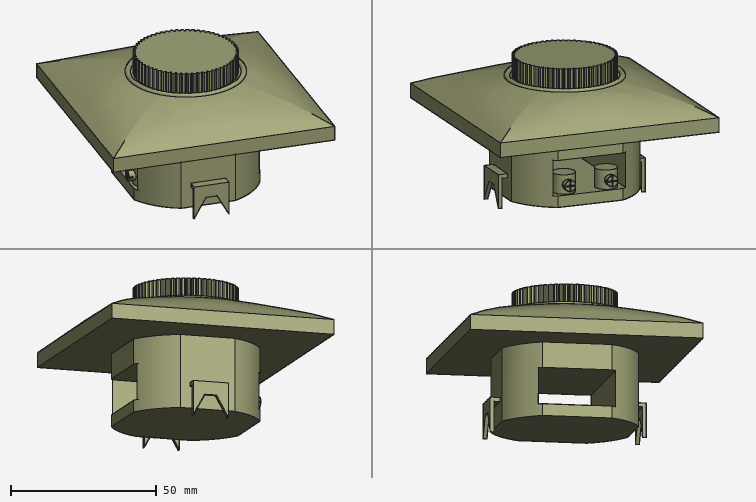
import cadquery as cq
import math

plate_x = 81.5
plate_y = 80.5
plate_top = 5.2

dome_top = 14.2
bead_outer_dia = 41.9
bead_inner_dia = 38.0
ridge_bulge = 1.1
face_bulge = 1.6

knob_dia = 36.35
flute_count = 60
flute_depth = 0.8
flute_mouth_share = 0.6
flute_root_share = 0.15
knob_top = 21.7

body_dia = 51.8
body_x = 47.9
body_y = 45.8
body_bottom = -25.75

window_width = 27.05
window_top = -8.9
window_floor = -21.6

post_dia = 8.0
post_spacing = 15.7
post_y = -17.9
post_top = -14.7
screw_dia = 4.0
screw_z = -18.25
screw_front = -24.0
screw_slot_width = 0.4
screw_slot_depth = 1.5

claw_span = 54.8
claw_width = 12.7
claw_sheet = 1.4
claw_top = -16.7
claw_bottom = -28.85
notch_top = -21.3
notch_top_width = 4.1


def raised_arc(start, end, bulge):
    """Arc from start to end whose middle is lifted off the chord, square to it and in its upright plane."""
    chord = end - start
    run = math.hypot(chord.x, chord.y)
    lift = cq.Vector(-chord.x * chord.z / run, -chord.y * chord.z / run, run) / chord.Length
    return cq.Edge.makeThreePointArc(start, (start + end) / 2 + lift * bulge, end)


def dome_solid():
    """Four curved faces rising from the plate's straight edges to a flat round top."""
    top_radius = bead_outer_dia / 2
    corner_angle = math.atan2(plate_y, plate_x)
    angles = [corner_angle, math.pi - corner_angle, math.pi + corner_angle, -corner_angle]
    half_x, half_y = plate_x / 2, plate_y / 2
    corner_signs = [(1, 1), (-1, 1), (-1, -1), (1, -1)]
    corners = [cq.Vector(sx * half_x, sy * half_y, plate_top) for sx, sy in corner_signs]

    def rim_point(angle):
        return cq.Vector(top_radius * math.cos(angle), top_radius * math.sin(angle), dome_top)

    rim = [rim_point(angle) for angle in angles]
    ridges = [raised_arc(low, high, ridge_bulge) for low, high in zip(corners, rim)]
    base_edges = []
    rim_arcs = []
    faces = []
    for i in range(len(corners)):
        j = (i + 1) % len(corners)
        side_angle = (i + 1) * math.pi / 2
        base = cq.Edge.makeLine(corners[i], corners[j])
        rim_middle = rim_point(side_angle)
        rim_arc = cq.Edge.makeThreePointArc(rim[i], rim_middle, rim[j])
        middle_line = raised_arc((corners[i] + corners[j]) / 2, rim_middle, face_bulge)
        guides = [middle_line.positionAt(t) for t in (0.25, 0.5, 0.75)]
        faces.append(cq.Face.makeNSidedSurface([base, ridges[j], rim_arc, ridges[i]], guides))
        base_edges.append(base)
        rim_arcs.append(rim_arc)
    faces.append(cq.Face.makeFromWires(cq.Wire.assembleEdges(base_edges)))
    faces.append(cq.Face.makeFromWires(cq.Wire.assembleEdges(rim_arcs)))
    return cq.Workplane(cq.Solid.makeSolid(cq.Shell.makeShell(faces)).fix())


def bead():
    """Ring of round section, half sunk in the dome around the knob."""
    tube_radius = (bead_outer_dia - bead_inner_dia) / 4
    ring_radius = (bead_outer_dia + bead_inner_dia) / 4
    return cq.Workplane(cq.Solid.makeTorus(ring_radius, tube_radius, cq.Vector(0, 0, dome_top)))


def knob():
    """Cylinder with evenly spaced tapered flutes; one flute lies on +X."""
    pitch = math.pi * knob_dia / flute_count
    mouth = pitch * flute_mouth_share / 2
    root = pitch * flute_root_share / 2
    radius = knob_dia / 2
    height = knob_top - dome_top
    base = cq.Workplane("XY", origin=(0, 0, dome_top))
    overrun = 2 * mouth - root
    flute = (
        base.moveTo(radius - flute_depth, -root)
        .lineTo(radius + flute_depth, -overrun)
        .lineTo(radius + flute_depth, overrun)
        .lineTo(radius - flute_depth, root)
        .close()
        .extrude(height)
        .val()
    )
    flutes = [
        flute.rotate(cq.Vector(0, 0, 0), cq.Vector(0, 0, 1), i * 360 / flute_count)
        for i in range(flute_count)
    ]
    blank = base.circle(radius).extrude(height).val()
    return cq.Workplane(blank.cut(*flutes))


def body():
    """Cylinder trimmed by four flats, with the window cut through along Y."""
    drum = cq.Workplane("XY").circle(body_dia / 2).extrude(body_bottom)
    drum = drum.intersect(cq.Workplane("XY").rect(body_x, body_y).extrude(body_bottom))
    window = (
        cq.Workplane("XY", origin=(0, 0, window_floor))
        .rect(window_width, body_dia)
        .extrude(window_top - window_floor)
    )
    return drum.cut(window)


def terminal(x):
    """Upright post with a cross-head screw reaching out from its axis toward -Y."""
    post = (
        cq.Workplane("XY", origin=(x, post_y, window_floor))
        .circle(post_dia / 2)
        .extrude(post_top - window_floor)
    )
    screw_face = cq.Workplane("XZ", origin=(x, screw_front, screw_z))
    screw = screw_face.circle(screw_dia / 2).extrude(screw_front - post_y)
    upright_slot = screw_face.rect(screw_slot_width, screw_dia).extrude(-screw_slot_depth)
    level_slot = screw_face.rect(screw_dia, screw_slot_width).extrude(-screw_slot_depth)
    return post.union(screw.cut(upright_slot).cut(level_slot))


def claw():
    """L-bent sheet on the +X side whose lower leg is notched into two points."""
    outer = claw_span / 2
    inner = body_x / 2
    bent_sheet = (
        cq.Workplane("XZ")
        .moveTo(inner, claw_top)
        .lineTo(outer, claw_top)
        .lineTo(outer, claw_bottom)
        .lineTo(outer - claw_sheet, claw_bottom)
        .lineTo(outer - claw_sheet, claw_top - claw_sheet)
        .lineTo(inner, claw_top - claw_sheet)
        .close()
        .extrude(claw_width / 2, both=True)
    )
    notch = (
        cq.Workplane("YZ", origin=(inner, 0, 0))
        .moveTo(-claw_width / 2, claw_bottom)
        .lineTo(-notch_top_width / 2, notch_top)
        .lineTo(notch_top_width / 2, notch_top)
        .lineTo(claw_width / 2, claw_bottom)
        .close()
        .extrude(outer - inner)
    )
    return bent_sheet.cut(notch)


result = cq.Workplane("XY").rect(plate_x, plate_y).extrude(plate_top)
result = result.union(dome_solid()).union(bead()).union(knob()).union(body())
for side in (-1, 1):
    result = result.union(terminal(side * post_spacing / 2))
right_claw = claw()
result = result.union(right_claw).union(right_claw.mirror("YZ"))